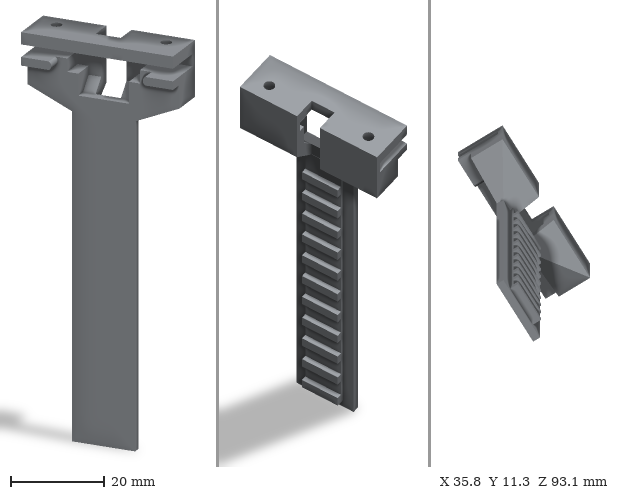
import cadquery as cq

width = 35.8
depth = 11.3
height = 93.1

body_front = 3.35
plate_bottom = 90.3
slot_floor = 87.4
slot_back = 10.1
head_back_bottom = 80.0
head_side_bottom = 80.0
taper_bottom = 75.5

lip_bottom = 85.4
lip_end = 10.8
lip_bulge = 0.6

pocket_back = 8.7
pocket_half_width = 6.0
pocket_floor = 79.3
step_half_width = 8.6
step_floor = 84.3
ramp_top = 82.3

notch_half_width = 3.0
hole_diameter = 2.5
hole_x = 12.9
hole_y = 7.35

stem_width = 14.9
stem_thickness = 1.7
rail_width = 9.3
rail_thickness = 0.7
rail_bottom = 2.05
rail_overlap = 0.5
tooth_count = 11
tooth_pitch = 6.6
tooth_height = 2.3
tooth_depth = 1.2

stem_back = body_front + stem_thickness
rail_back = stem_back + rail_thickness
notch_front = rail_back


def box(x_min, x_max, y_min, y_max, z_min, z_max):
    """Box between two corners."""
    size = (x_max - x_min, y_max - y_min, z_max - z_min)
    return cq.Workplane("XY").box(*size, centered=False).translate((x_min, y_min, z_min))


def centred_box(box_width, y_min, y_max, z_min, z_max):
    """Box that is symmetric about the plane X = 0."""
    return box(-box_width / 2, box_width / 2, y_min, y_max, z_min, z_max)


def side_prism(points, prism_width):
    """Closed (Y, Z) outline extruded equally to both sides of X = 0."""
    return cq.Workplane("YZ").polyline(points).close().extrude(prism_width / 2, both=True)


def head_blank():
    """Side profile of the head, narrowed to the stem by its front outline."""
    profile = side_prism(
        [
            (0, height),
            (0, plate_bottom),
            (slot_back, plate_bottom),
            (slot_back, slot_floor),
            (body_front, slot_floor),
            (body_front, taper_bottom),
            (stem_back, taper_bottom),
            (depth, head_back_bottom),
            (depth, height),
        ],
        width,
    )
    outline = (
        cq.Workplane("XZ")
        .polyline(
            [
                (-width / 2, height),
                (-width / 2, head_side_bottom),
                (-stem_width / 2, taper_bottom),
                (stem_width / 2, taper_bottom),
                (width / 2, head_side_bottom),
                (width / 2, height),
            ]
        )
        .close()
        .extrude(-depth)
    )
    return profile.intersect(outline)


def lip():
    """Right-hand lip, with a rounded inner end."""
    arc_start = lip_end + lip_bulge
    return (
        cq.Workplane("XZ")
        .moveTo(width / 2, lip_bottom)
        .lineTo(arc_start, lip_bottom)
        .threePointArc((lip_end, (lip_bottom + slot_floor) / 2), (arc_start, slot_floor))
        .lineTo(width / 2, slot_floor)
        .close()
        .extrude(-body_front)
    )


def pocket():
    """Stepped pocket whose back wall ramps forward near the floor."""
    upper = centred_box(2 * step_half_width, body_front, pocket_back, step_floor, slot_floor)
    lower = side_prism(
        [
            (body_front, slot_floor),
            (body_front, pocket_floor),
            (notch_front, pocket_floor),
            (pocket_back, ramp_top),
            (pocket_back, slot_floor),
        ],
        2 * pocket_half_width,
    )
    return upper.union(lower)


def head():
    notch = centred_box(2 * notch_half_width, notch_front, depth, taper_bottom, height)
    holes = (
        cq.Workplane("XY", origin=(0, 0, plate_bottom))
        .pushPoints([(-hole_x, hole_y), (hole_x, hole_y)])
        .circle(hole_diameter / 2)
        .extrude(height - plate_bottom)
    )
    right_lip = lip()
    solid = head_blank().union(right_lip).union(right_lip.mirror("YZ"))
    return solid.cut(pocket()).cut(notch).cut(holes)


def stem():
    """Flat stem, its rail and the evenly spaced teeth."""
    solid = centred_box(stem_width, body_front, stem_back, 0, taper_bottom)
    rail = centred_box(rail_width, stem_back, rail_back, rail_bottom, taper_bottom + rail_overlap)
    solid = solid.union(rail)
    for index in range(tooth_count):
        tooth_bottom = rail_bottom + index * tooth_pitch
        tooth_top = tooth_bottom + tooth_height
        tooth = centred_box(rail_width, stem_back, rail_back + tooth_depth, tooth_bottom, tooth_top)
        solid = solid.union(tooth)
    return solid


result = head().union(stem())